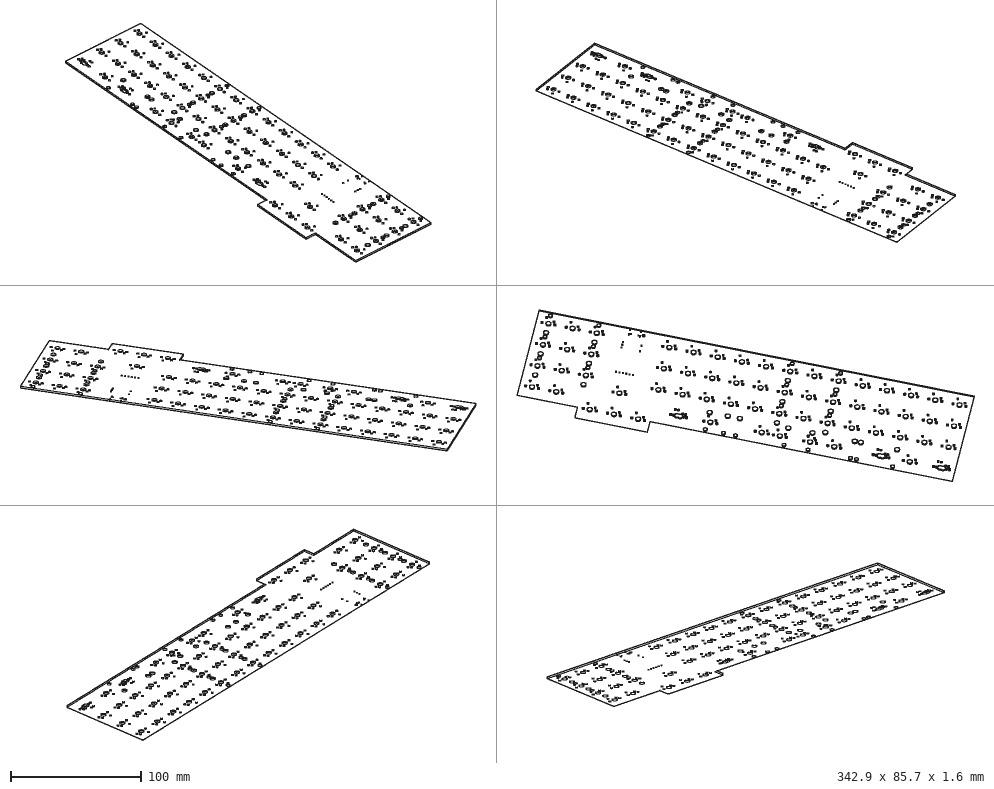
import cadquery as cq

KEY_UNIT = 19.05
BOARD_THICKNESS = 1.6
BOARD_WIDTH = 18 * KEY_UNIT
BOARD_HEIGHT = 4 * KEY_UNIT

TAB_LEFT = 12.5 * KEY_UNIT
TAB_WIDTH = 3 * KEY_UNIT
TAB_DROP = 0.5 * KEY_UNIT

SWITCH_GRID = 1.27
SWITCH_STEM_DIAMETER = 3.99
SWITCH_POST_DIAMETER = 1.75
SWITCH_POST_OFFSET = 4 * SWITCH_GRID
SWITCH_PIN_DIAMETER = 1.47
SWITCH_PINS = [(-3 * SWITCH_GRID, 2 * SWITCH_GRID), (2 * SWITCH_GRID, 4 * SWITCH_GRID)]

TWO_WAY_SWITCH = (6, 3.5)
ALTERNATIVE_PINS = [(-2.5, 4), (2.5, 4.5)]

MAIN_COLUMNS = [column + 0.5 for column in range(13)]
RIGHT_COLUMNS = [15.5, 16.5, 17.5]
BOTTOM_COLUMNS = [0.5, 0.625, 1.875, 3, 3.125, 5, 6, 7.25, 8, 10.125, 11.375, 11.5, 16.5, 17.5]
SWITCH_ROWS = [
    (MAIN_COLUMNS + RIGHT_COLUMNS, 0.5),
    (MAIN_COLUMNS + RIGHT_COLUMNS, 1.5),
    (MAIN_COLUMNS + RIGHT_COLUMNS, 2.5),
    (BOTTOM_COLUMNS, 3.5),
    ([14], 3),
    ([13, 14, 15], 4),
]

STABILISER_LARGE_DIAMETER = 3.99
STABILISER_LARGE_OFFSET = 8.255
STABILISER_SMALL_DIAMETER = 3.05
STABILISER_SMALL_OFFSET = 6.985

LARGE_HOLE_ABOVE = 1
LARGE_HOLE_BELOW = -1
STABILISED_KEYS = [
    (6.5, 0.5, 1, LARGE_HOLE_BELOW),
    (6.5, 1.5, 1, LARGE_HOLE_BELOW),
    (6.5, 2.5, 1, LARGE_HOLE_BELOW),
    (16.5, 0.5, 1, LARGE_HOLE_BELOW),
    (16.5, 1.5, 1, LARGE_HOLE_BELOW),
    (16.5, 2.5, 1, LARGE_HOLE_BELOW),
    (5, 3.5, 1, LARGE_HOLE_ABOVE),
    (8, 3.5, 1, LARGE_HOLE_ABOVE),
    (6, 3.5, 3.5, LARGE_HOLE_ABOVE),
    (7.25, 3.5, 3, LARGE_HOLE_ABOVE),
]

ELECTRONICS_X = 14 * KEY_UNIT

USB_SLOT_WIDTH = 0.6
USB_SLOT_OFFSET = 4.32
USB_FRONT_SLOT_LENGTH = 1.2
USB_FRONT_SLOT_DEPTH = 0.8
USB_REAR_SLOT_LENGTH = 1.7
USB_SLOT_SPACING = 4.18
USB_REAR_SLOT_DEPTH = USB_FRONT_SLOT_DEPTH + USB_SLOT_SPACING
USB_LOCATOR_DIAMETER = 0.65
USB_LOCATOR_OFFSET = 2.89
USB_LOCATOR_SETBACK = 0.53
USB_LOCATOR_DEPTH = USB_REAR_SLOT_DEPTH - USB_LOCATOR_SETBACK

SIDE_HOLE_DIAMETER = 2
SIDE_HOLE_OFFSET = 7
SIDE_HOLE_DEPTH = 3.7

ENCODER_DEPTH = 15
ENCODER_PIN_DIAMETER = 1
ENCODER_PIN_PITCH = 2.5
ENCODER_PIN_OFFSET = 7.25

HEADER_PIN_COUNT = 6
HEADER_PIN_PITCH = 2.67
HEADER_PIN_DIAMETER = 0.9
HEADER_DEPTH = 39.2


def from_top(depth):
    """Y coordinate at a given depth below the board's top edge."""
    return BOARD_HEIGHT - depth


def drill(board, centres, diameter):
    """Cut round through holes at the given centres; neighbouring holes may overlap."""
    drill_bit = cq.Solid.makeCylinder(diameter / 2, BOARD_THICKNESS)
    drills = [drill_bit.moved(cq.Location(cq.Vector(x, y, 0))) for x, y in centres]
    return board.newObject([board.val().cut(*drills)])


def make_board():
    tab_right = TAB_LEFT + TAB_WIDTH
    outline = [
        (0, BOARD_HEIGHT),
        (0, 0),
        (TAB_LEFT, 0),
        (TAB_LEFT, -TAB_DROP),
        (tab_right, -TAB_DROP),
        (tab_right, 0),
        (BOARD_WIDTH, 0),
        (BOARD_WIDTH, BOARD_HEIGHT),
    ]
    return cq.Workplane("XY").polyline(outline).close().extrude(BOARD_THICKNESS)


def cut_switches(board):
    stems = []
    posts = []
    pins = []
    for columns, row in SWITCH_ROWS:
        y = from_top(row * KEY_UNIT)
        for column in columns:
            x = column * KEY_UNIT
            stems.append((x, y))
            posts.append((x - SWITCH_POST_OFFSET, y))
            posts.append((x + SWITCH_POST_OFFSET, y))
            pins += [(x + dx, y + dy) for dx, dy in SWITCH_PINS]
    board = drill(board, stems, SWITCH_STEM_DIAMETER)
    board = drill(board, posts, SWITCH_POST_DIAMETER)
    return drill(board, pins, SWITCH_PIN_DIAMETER)


def cut_alternative_pins(board):
    column, row = TWO_WAY_SWITCH
    x = column * KEY_UNIT
    y = from_top(row * KEY_UNIT)
    pins = [(x + dx, y + dy) for dx, dy in ALTERNATIVE_PINS]
    return drill(board, pins, SWITCH_PIN_DIAMETER)


def cut_stabilisers(board):
    large_holes = []
    small_holes = []
    for column, row, half_span, side in STABILISED_KEYS:
        y = from_top(row * KEY_UNIT)
        for foot_column in (column - half_span, column + half_span):
            x = foot_column * KEY_UNIT
            large_holes.append((x, y + side * STABILISER_LARGE_OFFSET))
            small_holes.append((x, y - side * STABILISER_SMALL_OFFSET))
    board = drill(board, large_holes, STABILISER_LARGE_DIAMETER)
    return drill(board, small_holes, STABILISER_SMALL_DIAMETER)


def cut_usb_socket(board):
    slots = [
        (USB_FRONT_SLOT_DEPTH, USB_FRONT_SLOT_LENGTH),
        (USB_REAR_SLOT_DEPTH, USB_REAR_SLOT_LENGTH),
    ]
    for depth, length in slots:
        centres = [(ELECTRONICS_X + side * USB_SLOT_OFFSET, from_top(depth)) for side in (-1, 1)]
        cutter = cq.Workplane("XY").pushPoints(centres).slot2D(length, USB_SLOT_WIDTH, angle=90)
        board = board.cut(cutter.extrude(BOARD_THICKNESS))
    locator_y = from_top(USB_LOCATOR_DEPTH)
    locators = [(ELECTRONICS_X + side * USB_LOCATOR_OFFSET, locator_y) for side in (-1, 1)]
    return drill(board, locators, USB_LOCATOR_DIAMETER)


def cut_side_hole(board):
    centre = (ELECTRONICS_X - SIDE_HOLE_OFFSET, from_top(SIDE_HOLE_DEPTH))
    return drill(board, [centre], SIDE_HOLE_DIAMETER)


def cut_encoder(board):
    y = from_top(ENCODER_DEPTH)
    left_x = ELECTRONICS_X - ENCODER_PIN_OFFSET
    right_x = ELECTRONICS_X + ENCODER_PIN_OFFSET
    switch_pins = [(left_x, y + step * ENCODER_PIN_PITCH) for step in (-1, 1)]
    signal_pins = [(right_x, y + step * ENCODER_PIN_PITCH) for step in (-1, 0, 1)]
    return drill(board, switch_pins + signal_pins, ENCODER_PIN_DIAMETER)


def cut_header(board):
    first_x = ELECTRONICS_X - (HEADER_PIN_COUNT - 1) * HEADER_PIN_PITCH / 2
    y = from_top(HEADER_DEPTH)
    pins = [(first_x + index * HEADER_PIN_PITCH, y) for index in range(HEADER_PIN_COUNT)]
    return drill(board, pins, HEADER_PIN_DIAMETER)


result = make_board()
result = cut_switches(result)
result = cut_alternative_pins(result)
result = cut_stabilisers(result)
result = cut_usb_socket(result)
result = cut_side_hole(result)
result = cut_encoder(result)
result = cut_header(result)